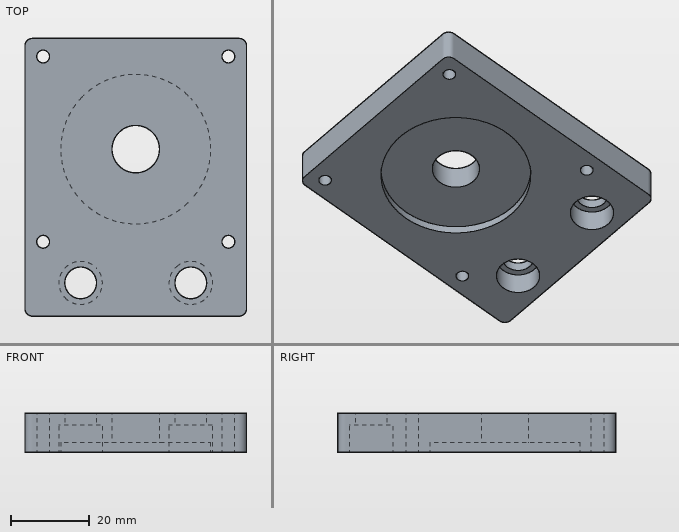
import cadquery as cq

plate_width = 56.4
plate_length = 70.7
plate_thickness = 10.0
corner_radius = 2.0
motor_y = plate_length / 2 - plate_width / 2

shaft_hole_diameter = 12.0
boss_recess_diameter = 38.1
boss_recess_depth = 2.5
screw_hole_diameter = 3.2
screw_spacing = 47.1

stepped_hole_diameter = 8.0
stepped_hole_spacing = 28.0
stepped_hole_offset = 34.0
stepped_hole_y = motor_y - stepped_hole_offset
counterbore_diameter = 11.0
counterbore_depth = 7.0


def make_plate():
    """Rectangular plate standing on Z = 0 with rounded vertical corners."""
    plate = cq.Workplane("XY").box(
        plate_width, plate_length, plate_thickness, centered=(True, True, False)
    )
    return plate.edges("|Z").fillet(corner_radius)


def make_bore(diameter, depth, points):
    """Cylinders rising from the underside to the given depth at each point."""
    return cq.Workplane("XY").pushPoints(points).circle(diameter / 2).extrude(depth)


def cut_motor_mount(plate):
    """Shaft hole, recess for the motor boss in the underside, and four screw holes."""
    centre = [(0, motor_y)]
    half_spacing = screw_spacing / 2
    screw_points = [
        (x_side * half_spacing, motor_y + y_side * half_spacing)
        for x_side in (-1, 1)
        for y_side in (-1, 1)
    ]
    plate = plate.cut(make_bore(shaft_hole_diameter, plate_thickness, centre))
    plate = plate.cut(make_bore(boss_recess_diameter, boss_recess_depth, centre))
    return plate.cut(make_bore(screw_hole_diameter, plate_thickness, screw_points))


def cut_stepped_holes(plate):
    """Two through holes, each counterbored from the underside."""
    points = [(side * stepped_hole_spacing / 2, stepped_hole_y) for side in (-1, 1)]
    plate = plate.cut(make_bore(stepped_hole_diameter, plate_thickness, points))
    return plate.cut(make_bore(counterbore_diameter, counterbore_depth, points))


result = cut_stepped_holes(cut_motor_mount(make_plate()))